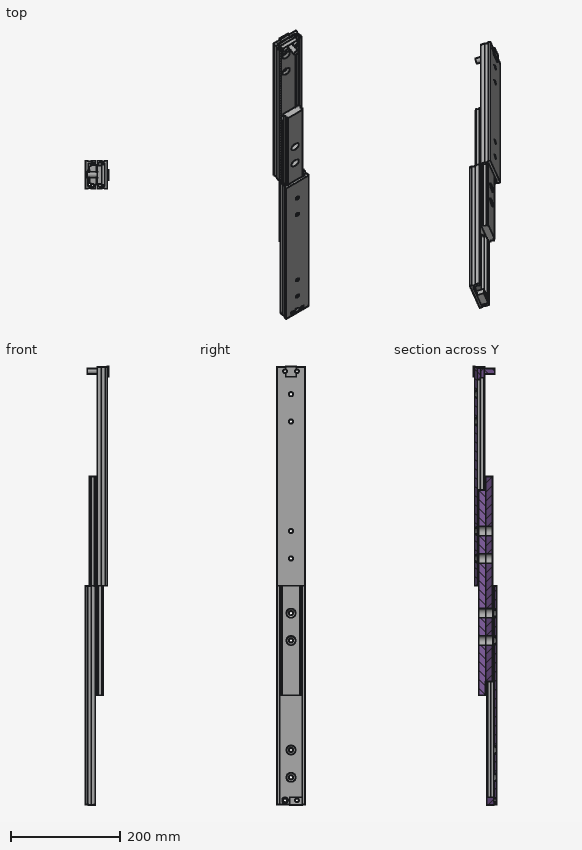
import cadquery as cq


rail_length = 400.0
stagger = rail_length / 2
slider_bottom = stagger
slider_top = slider_bottom + rail_length
carrier_top = 2 * stagger + rail_length
slider_end_setback = 25.0
end_overhang = 0.81

rail_depth = 18.6
rail_gap = 3.05
mid_x = rail_depth + rail_gap / 2
carrier_back_x = 2 * mid_x

rail_width = 51.38
web = 5.0
flange = 5.2
outer_groove_start = 4.2
outer_groove_end = 11.0
outer_groove_depth = 1.2

slider_clearance = 2.3
slider_width = 37.4
slider_lip_depth = 2.3
slider_lip_width = 31.4
seam_chamfer = 1.6

race_start = 10.5
race_end = 16.4
race_depth = 1.6

hole_diameter = 7.4
countersink_diameter = 16.8
hole_inset = 50.0
hole_pitch = 50.0

fitting_inset = 8.0
fitting_hole_y = 10.9
fitting_hole_diameter = 6.8
fitting_countersink_diameter = 11.0
foot_screw_diameter = 4.2
foot_screw_countersink_diameter = 10.8

stop_top = carrier_top - 2.5
stop_block_width = 34.5
stop_block_bottom = carrier_top - 20.0
stop_block_recess = 0.5
backing_thickness = 5.2
backing_width = 37.0
backing_bottom = carrier_top - 23.5
plate_thickness = 2.5
plate_width = 19.3
plate_bottom = carrier_top - 18.4

pin_diameter = 10.4
pin_tip_x = 3.2

foot_edge_y = -2.4
foot_top = 14.0

half_width = rail_width / 2
flange_inner_y = half_width - flange
half_slider = slider_width / 2
race_mid = (race_start + race_end) / 2
carrier_web_x = carrier_back_x - web
carrier_tip_x = carrier_back_x - rail_depth
stop_block_x = carrier_tip_x + stop_block_recess
backing_x = carrier_web_x - backing_thickness
carrier_fitting_z = carrier_top - fitting_inset
rail_hole_heights = (
    hole_inset,
    hole_inset + hole_pitch,
    rail_length - hole_inset - hole_pitch,
    rail_length - hole_inset,
)
fitting_hole_places = (-fitting_hole_y, fitting_hole_y)


def block(x_range, y_range, z_range):
    """Rectangular block between the given limits."""
    sizes = [high - low for low, high in (x_range, y_range, z_range)]
    corner = (x_range[0], y_range[0], z_range[0])
    return cq.Workplane("XY").box(*sizes, centered=False).translate(corner)


def centered(width):
    return (-width / 2, width / 2)


def x_cylinder(diameter, x_start, x_end, y, z):
    return cq.Workplane("YZ", origin=(x_start, y, z)).circle(diameter / 2).extrude(x_end - x_start)


def x_cone(x_small, small_diameter, x_large, large_diameter, y, z):
    """Cone along X, from its small end to its large end."""
    return (
        cq.Workplane("YZ", origin=(x_small, y, z))
        .circle(small_diameter / 2)
        .workplane(offset=x_large - x_small)
        .circle(large_diameter / 2)
        .loft()
    )


def end_for_end(body):
    """Turn a body half round so that it takes the matching place at the other end and side."""
    turned = body.rotate((0, 0, 0), (0, 1, 0), 180)
    return turned.translate((carrier_back_x, 0, carrier_top))


def half_section(steps):
    """Closed outline from the X axis over the +Y side and back: points, and (through, end) arcs."""
    outline = cq.Workplane("XY").moveTo(*steps[0])
    for step in steps[1:]:
        if isinstance(step[0], tuple):
            outline = outline.threePointArc(*step)
        else:
            outline = outline.lineTo(*step)
    return outline.close()


def make_rail():
    """Rail with its closed side at X = 0 and its fitting end at Z = 0."""
    groove_mid = (outer_groove_start + outer_groove_end) / 2
    section = [
        (0, 0),
        (0, half_width),
        (outer_groove_start, half_width),
        ((groove_mid, half_width - outer_groove_depth), (outer_groove_end, half_width)),
        (rail_depth, half_width),
        (rail_depth, flange_inner_y),
        (race_end, flange_inner_y),
        ((race_mid, flange_inner_y + race_depth), (race_start, flange_inner_y)),
        (web, flange_inner_y),
        (web, 0),
    ]
    half = half_section(section).extrude(rail_length)
    rail = half.union(half.mirror("XZ"))
    for z in rail_hole_heights:
        rail = rail.cut(x_cone(0, hole_diameter, web, countersink_diameter, 0, z))
    for y in fitting_hole_places:
        screw_hole = x_cone(
            0, fitting_hole_diameter, web, fitting_countersink_diameter, y, fitting_inset
        )
        rail = rail.cut(screw_hole)
    return rail


def make_slider():
    """Slider facing -X, with a ball race along each side and access holes for the rail screws."""
    face_x = web + slider_clearance
    lip_x = face_x + slider_lip_depth
    half_lip = slider_lip_width / 2
    section = [
        (face_x, 0),
        (face_x, half_lip),
        (lip_x, half_lip),
        (lip_x, half_slider),
        (race_start, half_slider),
        ((race_mid, half_slider - race_depth), (race_end, half_slider)),
        (mid_x - seam_chamfer, half_slider),
        (mid_x, half_slider - seam_chamfer),
        (mid_x, 0),
    ]
    start = slider_bottom + slider_end_setback
    half = half_section(section).extrude(slider_top - start).translate((0, 0, start))
    slider = half.union(half.mirror("XZ"))
    wall_heights = rail_hole_heights[2:]
    carrier_heights = [carrier_top - z for z in wall_heights]
    for z in (*wall_heights, *carrier_heights):
        slider = slider.cut(x_cylinder(countersink_diameter, face_x, mid_x, 0, z))
    return slider


def make_wall_rail():
    """Rail with an extra countersunk screw hole for the foot."""
    foot_screw_hole = x_cone(
        web, foot_screw_diameter, 0, foot_screw_countersink_diameter, 0, fitting_inset
    )
    return make_rail().cut(foot_screw_hole)


def make_stop_block():
    body = block(
        (stop_block_x, backing_x), centered(stop_block_width), (stop_block_bottom, stop_top)
    )
    for y in fitting_hole_places:
        screw_hole = x_cone(
            backing_x,
            fitting_hole_diameter,
            stop_block_x,
            fitting_countersink_diameter,
            y,
            carrier_fitting_z,
        )
        body = body.cut(screw_hole)
    return body


def cut_fitting_holes(body, x_range, z):
    """Plain through holes in line with the rail's fitting holes."""
    for y in fitting_hole_places:
        body = body.cut(x_cylinder(fitting_hole_diameter, *x_range, y, z))
    return body


def make_backing():
    x_range = (backing_x, carrier_web_x)
    body = block(x_range, centered(backing_width), (backing_bottom, stop_top))
    return cut_fitting_holes(body, x_range, carrier_fitting_z)


def make_plate():
    x_range = (carrier_back_x, carrier_back_x + plate_thickness)
    body = block(x_range, centered(plate_width), (plate_bottom, carrier_top + end_overhang))
    return cut_fitting_holes(body, x_range, carrier_fitting_z)


def make_foot():
    """One-sided foot between the web and one flange."""
    x_range = (web, rail_depth)
    body = block(x_range, (foot_edge_y, flange_inner_y), (-end_overhang, foot_top))
    return cut_fitting_holes(body, x_range, fitting_inset)


wall_rail = make_wall_rail()
carrier_rail = end_for_end(make_rail())
sliders = [make_slider(), end_for_end(make_slider())]
stop_block = make_stop_block()
backing = make_backing()
plate = make_plate()
pin = x_cylinder(pin_diameter, pin_tip_x, stop_block_x, 0, carrier_fitting_z)
foot = make_foot()

result = cq.Compound.makeCompound(
    [
        wall_rail.val(),
        carrier_rail.val(),
        *[slider.val() for slider in sliders],
        stop_block.val(),
        backing.val(),
        plate.val(),
        pin.val(),
        foot.val(),
    ]
)